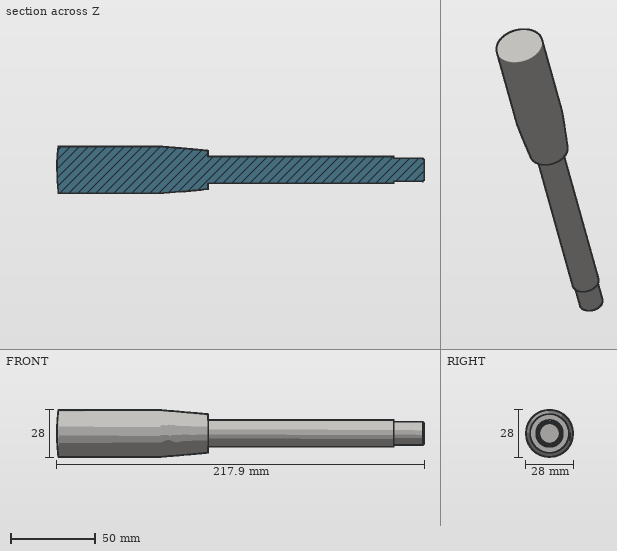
import cadquery as cq
import math

total_length = 217.88

grip_radius = 14.0
grip_length = 89.68
taper_length = 28.3
taper_end_radius = 11.5
taper_arc_radius = 1000.0

dome_height = 0.88
rim_fillet = 0.5

rod_radius = 8.0
spigot_radius = 7.0
spigot_length = 18.0
spigot_chamfer = 1.0
rod_length = total_length - grip_length - spigot_length


def bulge_point(start, end, arc_radius):
    """Middle point of a shallow arc bowed outward, away from the X axis."""
    chord_x = end[0] - start[0]
    chord_r = end[1] - start[1]
    chord = math.hypot(chord_x, chord_r)
    sagitta = arc_radius - math.sqrt(arc_radius**2 - (chord / 2) ** 2)
    middle_x = (start[0] + end[0]) / 2 - sagitta * chord_r / chord
    middle_r = (start[1] + end[1]) / 2 + sagitta * chord_x / chord
    return middle_x, middle_r


def make_grip():
    """Cylindrical grip with a domed end and a slightly bowed taper toward the rod."""
    dome_tip = (0, 0)
    dome_rim = (dome_height, grip_radius)
    dome_radius = (grip_radius**2 + dome_height**2) / (2 * dome_height)
    taper_start = (grip_length - taper_length, grip_radius)
    taper_end = (grip_length, taper_end_radius)
    profile = (
        cq.Workplane("XY")
        .moveTo(*dome_tip)
        .threePointArc(bulge_point(dome_tip, dome_rim, dome_radius), dome_rim)
        .lineTo(*taper_start)
        .threePointArc(bulge_point(taper_start, taper_end, taper_arc_radius), taper_end)
        .lineTo(grip_length, 0)
        .close()
    )
    grip = profile.revolve(360, (0, 0, 0), (1, 0, 0))
    return grip.faces("%CYLINDER").edges("<X").fillet(rim_fillet)


def make_rod():
    """Plain rod that steps down to a chamfered spigot."""
    rod = cq.Workplane("YZ", origin=(grip_length, 0, 0)).circle(rod_radius).extrude(rod_length)
    spigot = (
        cq.Workplane("YZ", origin=(grip_length + rod_length, 0, 0))
        .circle(spigot_radius)
        .extrude(spigot_length)
        .faces(">X")
        .chamfer(spigot_chamfer)
    )
    return rod.union(spigot)


result = make_grip().union(make_rod())